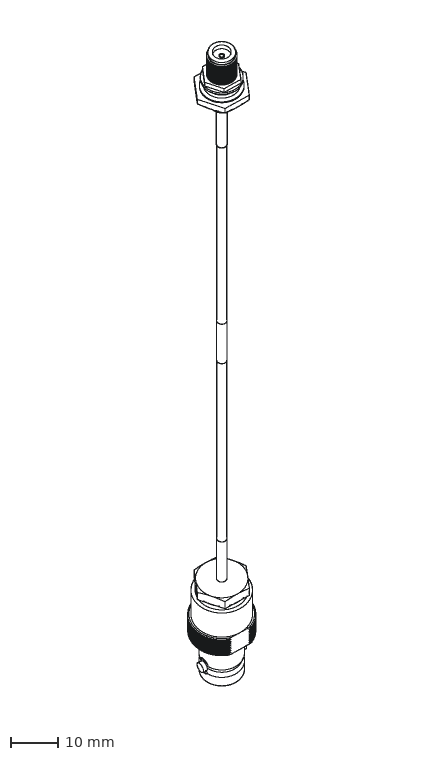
import cadquery as cq
import math

total_height = 197.4

barrel_radius = 4.84
barrel_top = 12.2
groove_bottom = 2.8
groove_top = 5.1
groove_depth = 0.4
lug_height = 4.1
lug_diameter = 2.4
lug_tip_radius = 5.62
lug_seat_diameter = 4.0
lug_seat_offset = 4.64
collar_thread_radius = 7.2
collar_thread_pitch = 0.5
collar_thread_depth = 0.28
collar_thread_turns = 9
collar_flats_width = 13.0
shell_radius = collar_flats_width / 2
shell_top = 25.3
neck_radius = 5.62
jack_hex_bottom = 26.5
jack_top = 29.0
hex_flats_width = 11.0
hex_chamfer_angle = 20

cable_radius = 1.09
end_sleeve_radius = 1.2
thin_sleeve_radius = 1.12
boot_sleeve_top = 41.8
label_bottom = 98.9
label_top = 111.5
ferrule_sleeve_bottom = 168.0
cable_top = 179.2

cone_end_radius = 1.2
ferrule_bottom = 180.8
ferrule_radius = 2.5
flange_bottom = 184.7
flange_top = 186.5
shoulder_radius = 4.7
shoulder_top_radius = 4.0
shoulder_top = 187.0
jack_thread_radius = 3.25
jack_thread_pitch = 0.5
jack_thread_depth = 0.4
jack_thread_turns = 16
jack_tip_radius = 3.0
insulator_radius = 2.0
insulator_bottom = flange_top
insulator_top = total_height - 1.2
contact_radius = 0.63
contact_socket_radius = 0.4
contact_socket_depth = 3.0

washer_bottom = 188.9
washer_radius = 4.5
nut_bottom = 189.5
nut_top = 190.6
nut_flats_width = 7.7


def cylinder(radius, bottom, top):
    """Cylinder on the Z axis between two heights."""
    return cq.Workplane("XY", origin=(0, 0, bottom)).circle(radius).extrude(top - bottom)


def turned(profile):
    """Solid turned about Z from (radius, height) points, closed along the axis."""
    points = [(0, profile[0][1])] + profile + [(0, profile[-1][1])]
    return cq.Workplane("XZ").polyline(points).close().revolve(360, (0, 0), (0, 1))


def hexagon(flats_width, bottom, top):
    """Hexagonal prism with flats facing -X and +X."""
    corner_diameter = flats_width / math.cos(math.pi / 6)
    prism = cq.Workplane("XY", origin=(0, 0, bottom)).polygon(6, corner_diameter).extrude(top - bottom)
    return prism.rotate((0, 0, 0), (0, 0, 1), 30)


def chamfered_hexagon(bottom, top, chamfer_below):
    """Hexagonal head whose corners are turned off conically at one end, down to the flats."""
    flat_radius = hex_flats_width / 2
    corner_radius = flat_radius / math.cos(math.pi / 6)
    chamfer_height = (corner_radius - flat_radius) * math.tan(math.radians(hex_chamfer_angle))
    if chamfer_below:
        profile = [(flat_radius, bottom), (corner_radius, bottom + chamfer_height), (corner_radius, top)]
    else:
        profile = [(corner_radius, bottom), (corner_radius, top - chamfer_height), (flat_radius, top)]
    return hexagon(hex_flats_width, bottom, top).intersect(turned(profile))


def ridged_rod(crest_radius, depth, pitch, turns, bottom):
    """Rod with flat-topped ring ridges standing for a screw thread; the crests fill half the pitch."""
    root_radius = crest_radius - depth
    profile = [(root_radius, bottom)]
    for turn in range(turns):
        ridge_bottom = bottom + turn * pitch
        profile.append((crest_radius, ridge_bottom + pitch / 4))
        profile.append((crest_radius, ridge_bottom + pitch * 3 / 4))
        profile.append((root_radius, ridge_bottom + pitch))
    return turned(profile)


def sleeve(radius, bottom, top):
    """Tube fitted closely round the cable."""
    return cylinder(radius, bottom, top).cut(cylinder(cable_radius, bottom, top))


def make_barrel():
    """Bayonet barrel with a V groove and two lugs, each on a flat round seat."""
    groove_middle = (groove_bottom + groove_top) / 2
    barrel = turned([
        (barrel_radius, 0),
        (barrel_radius, groove_bottom),
        (barrel_radius - groove_depth, groove_middle),
        (barrel_radius, groove_top),
        (barrel_radius, barrel_top),
    ])
    for side in (-1, 1):
        outward = cq.Plane(origin=(0, 0, lug_height), xDir=(1, 0, 0), normal=(0, side, 0))
        seat = cq.Workplane(outward).workplane(offset=lug_seat_offset)
        lug_length = lug_tip_radius - lug_seat_offset
        seat_cut = seat.circle(lug_seat_diameter / 2).extrude(lug_length)
        lug = seat.circle(lug_diameter / 2).extrude(lug_length)
        barrel = barrel.cut(seat_cut).union(lug)
    return barrel


def make_collar():
    """Threaded collar with two flats across X."""
    thread_length = collar_thread_turns * collar_thread_pitch
    thread = ridged_rod(
        collar_thread_radius, collar_thread_depth, collar_thread_pitch, collar_thread_turns, barrel_top
    )
    flats = cq.Workplane("XY", origin=(0, 0, barrel_top))
    flats = flats.rect(collar_flats_width, 2 * collar_thread_radius).extrude(thread_length)
    return thread.intersect(flats)


def make_bayonet_jack():
    collar_top = barrel_top + collar_thread_turns * collar_thread_pitch
    shell = cylinder(shell_radius, collar_top, shell_top)
    neck = cylinder(neck_radius, shell_top, jack_hex_bottom)
    head = chamfered_hexagon(jack_hex_bottom, jack_top, chamfer_below=False)
    return make_barrel().union(make_collar()).union(shell).union(neck).union(head)


def make_threaded_jack():
    rear = turned([
        (cone_end_radius, cable_top),
        (ferrule_radius, ferrule_bottom),
        (ferrule_radius, flange_bottom),
    ])
    flange = chamfered_hexagon(flange_bottom, flange_top, chamfer_below=True)
    shoulder = turned([
        (shoulder_radius, flange_top),
        (shoulder_radius, (flange_top + shoulder_top) / 2),
        (shoulder_top_radius, shoulder_top),
    ])
    thread = ridged_rod(
        jack_thread_radius, jack_thread_depth, jack_thread_pitch, jack_thread_turns, shoulder_top
    )
    thread_top = shoulder_top + jack_thread_turns * jack_thread_pitch
    tip = cylinder(jack_tip_radius, thread_top, total_height)
    bore = cylinder(insulator_radius, insulator_bottom, total_height)
    return rear.union(flange).union(shoulder).union(thread).union(tip).cut(bore)


def make_insulator():
    tube = cylinder(insulator_radius, insulator_bottom, insulator_top)
    return tube.cut(cylinder(contact_radius, insulator_bottom, insulator_top))


def make_contact():
    pin = cylinder(contact_radius, insulator_bottom, insulator_top)
    return pin.cut(cylinder(contact_socket_radius, insulator_top - contact_socket_depth, insulator_top))


def make_washer():
    thread_hole = cylinder(jack_thread_radius, washer_bottom, nut_bottom)
    return cylinder(washer_radius, washer_bottom, nut_bottom).cut(thread_hole)


def make_nut():
    thread_hole = cylinder(jack_thread_radius, nut_bottom, nut_top)
    return hexagon(nut_flats_width, nut_bottom, nut_top).cut(thread_hole)


bayonet_jack = make_bayonet_jack()
cable = cylinder(cable_radius, jack_top, cable_top)
boot_sleeve = sleeve(thin_sleeve_radius, jack_top, boot_sleeve_top)
label_sleeve = sleeve(thin_sleeve_radius, label_bottom, label_top)
ferrule_sleeve = sleeve(end_sleeve_radius, ferrule_sleeve_bottom, cable_top)
threaded_jack = make_threaded_jack()
insulator = make_insulator()
contact = make_contact()
washer = make_washer()
nut = make_nut()

result = cq.Compound.makeCompound([
    bayonet_jack.val(),
    cable.val(),
    boot_sleeve.val(),
    label_sleeve.val(),
    ferrule_sleeve.val(),
    threaded_jack.val(),
    insulator.val(),
    contact.val(),
    washer.val(),
    nut.val(),
])